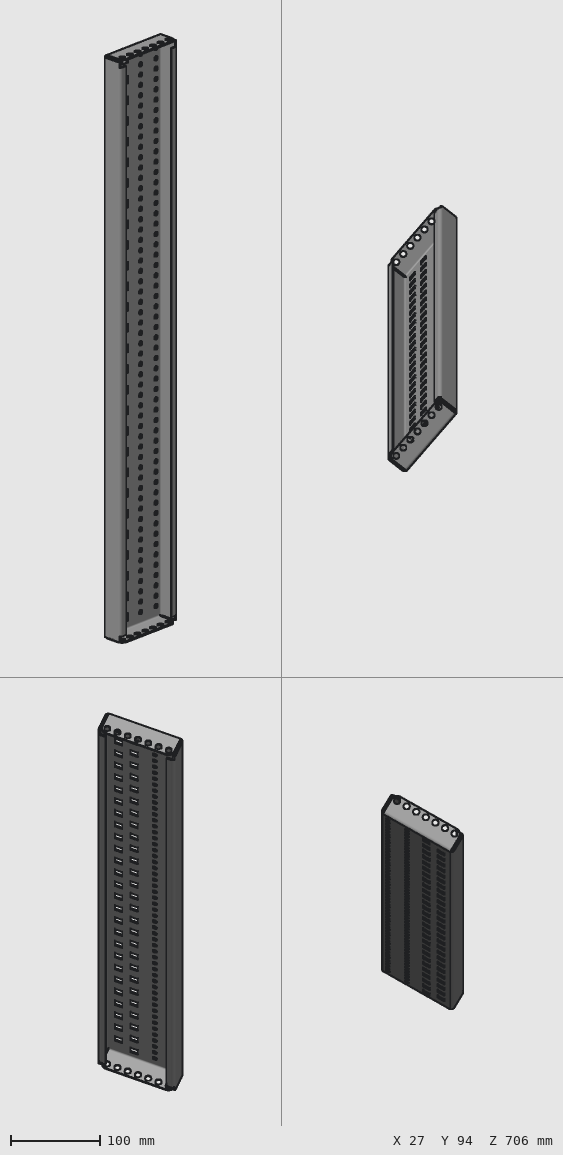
import cadquery as cq

depth = 27.0
width = 94.0
height = 706.0

thickness = 2.0
bend_radius = 3.95
inner_radius = bend_radius - thickness

end_gap = 2.6
lip_width = 10.0
lip_setback = 9.0
wall_setback = 2.0

flange_width = 87.5
flange_corner = 7.0

row_span = 675.0
row_count = 55
pitch = row_span / (row_count - 1)
round_diameter = 5.3
square_size = 9.0
flange_hole_count = 7
flange_hole_diameter = 7.0
flange_hole_inset = 6.0
outer_round_y = 3 * pitch
inner_round_y = pitch
inner_square_y = -13.0
outer_square_y = -32.0


def block(x_range, y_size, z_range):
    """Box spanning the X and Z ranges, centred on Y = 0."""
    x_size = x_range[1] - x_range[0]
    z_size = z_range[1] - z_range[0]
    box = cq.Workplane("XY").box(x_size, y_size, z_size, centered=(False, True, False))
    return box.translate((x_range[0], 0, z_range[0]))


def lipped_channel():
    """Front panel, side walls and lips as one folded channel along Z."""
    z_range = (end_gap, height - end_gap)
    outer = block((0, depth), width, z_range).edges("|Z").fillet(bend_radius)
    inner = block((thickness, depth - thickness), width - 2 * thickness, z_range)
    channel = outer.cut(inner.edges("|Z").fillet(inner_radius))

    channel = channel.cut(block((depth - thickness, depth), width - 2 * lip_width, z_range))

    trim_x = (depth - wall_setback, depth)
    channel = channel.cut(block(trim_x, width, (0, lip_setback)))
    return channel.cut(block(trim_x, width, (height - lip_setback, height)))


def end_flanges():
    """Front panel strip folded back at both ends."""
    outer = block((0, depth), flange_width, (0, height)).edges("|Y and <X").fillet(bend_radius)
    inner = block((thickness, depth), flange_width, (thickness, height - thickness))
    flanges = outer.cut(inner.edges("|Y and <X").fillet(inner_radius))
    return flanges.edges("|Z and >X").fillet(flange_corner)


def row_points(y, first_row, row_step):
    """Panel hole centres down one column, counted from the top row."""
    top_z = (height + row_span) / 2
    return [(y, top_z - row * pitch) for row in range(first_row, row_count, row_step)]


def panel_holes():
    """Two columns of round holes and two staggered columns of square holes."""
    round_points = row_points(outer_round_y, 0, 1) + row_points(inner_round_y, 0, 1)
    square_points = row_points(inner_square_y, 0, 2) + row_points(outer_square_y, 1, 2)
    panel = cq.Workplane("YZ")
    round_holes = panel.pushPoints(round_points).circle(round_diameter / 2).extrude(thickness)
    square_holes = panel.pushPoints(square_points).rect(square_size, square_size).extrude(thickness)
    return round_holes, square_holes


def flange_holes():
    """A row of round holes running through both end flanges."""
    row = cq.Workplane("XY").center(depth - flange_hole_inset, 0).rarray(7, pitch, 1, flange_hole_count)
    return row.circle(flange_hole_diameter / 2).extrude(height)


result = lipped_channel().union(end_flanges())
for holes in panel_holes():
    result = result.cut(holes)
result = result.cut(flange_holes())